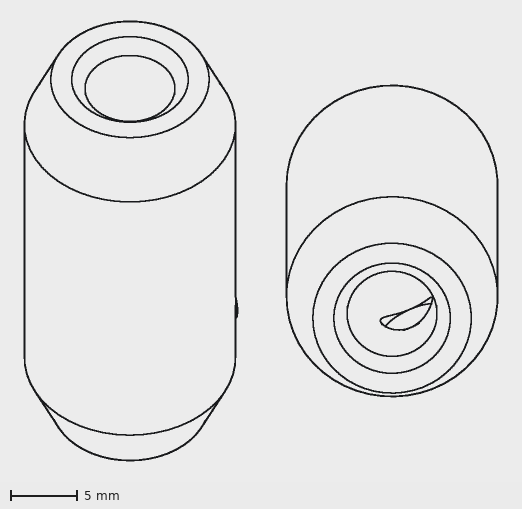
import cadquery as cq

LENGTH = 36.0
OUTER_DIAMETER = 16.0
END_DIAMETER = 12.0
TAPER_LENGTH = 5.0
BORE_DIAMETER = 6.8
BORE_CHAMFER = 1.0

SCREW_DIAMETER = 4.32
SCREW_CHAMFER = 0.25
SCREW_HEIGHT = LENGTH / 4

OUTER_RADIUS = OUTER_DIAMETER / 2
END_RADIUS = END_DIAMETER / 2
BORE_RADIUS = BORE_DIAMETER / 2
SCREW_LENGTH = OUTER_RADIUS - BORE_RADIUS


def radial_cylinder(start, length):
    """Cylinder on the screw axis, running in +Y from y = start."""
    return (
        cq.Workplane("XZ", origin=(0, start, SCREW_HEIGHT))
        .circle(SCREW_DIAMETER / 2)
        .extrude(-length)
    )


def make_sleeve():
    """Revolve the wall section about Z, then cut the screw hole into the bore."""
    wall = (
        cq.Workplane("XZ")
        .moveTo(BORE_RADIUS, BORE_CHAMFER)
        .lineTo(BORE_RADIUS + BORE_CHAMFER, 0)
        .lineTo(END_RADIUS, 0)
        .lineTo(OUTER_RADIUS, TAPER_LENGTH)
        .lineTo(OUTER_RADIUS, LENGTH - TAPER_LENGTH)
        .lineTo(END_RADIUS, LENGTH)
        .lineTo(BORE_RADIUS + BORE_CHAMFER, LENGTH)
        .lineTo(BORE_RADIUS, LENGTH - BORE_CHAMFER)
        .close()
        .revolve(360, (0, 0, 0), (0, 1, 0))
    )
    return wall.cut(radial_cylinder(0, OUTER_RADIUS))


def make_set_screw():
    """Plug with a flat, chamfered outer end, reaching from the bore to the outermost line of the sleeve."""
    plug = radial_cylinder(BORE_RADIUS, SCREW_LENGTH)
    return plug.faces(">Y").chamfer(SCREW_CHAMFER)


sleeve = make_sleeve()
set_screw = make_set_screw()

result = cq.Compound.makeCompound([sleeve.val(), set_screw.val()])